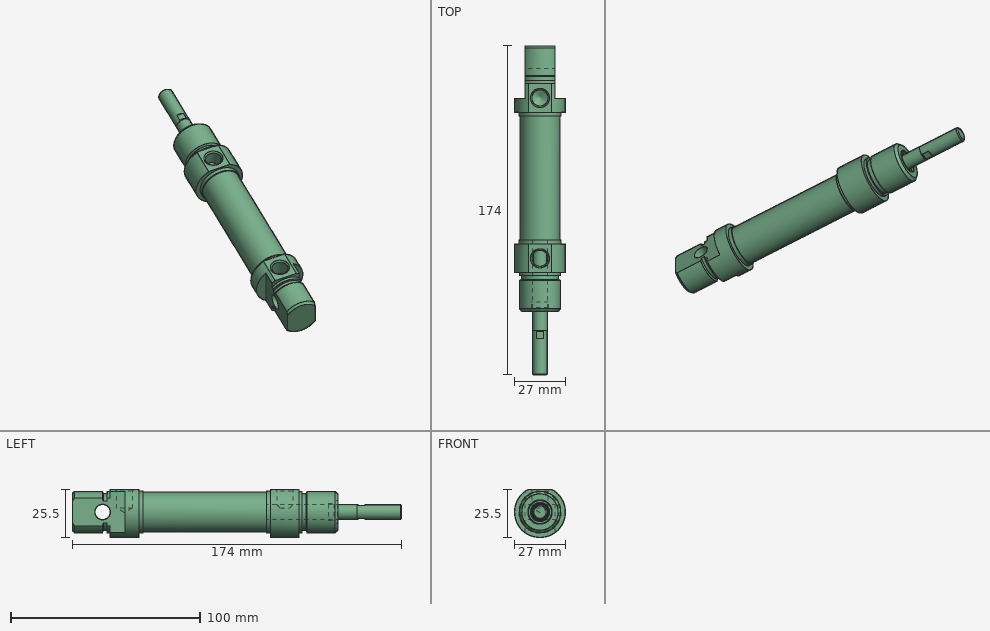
import cadquery as cq
import math

total_length = 174.0

flange_diameter = 27.0
collar_diameter = 22.3
thread_diameter = 22.0
groove_diameter = 19.7
rear_nose_diameter = 19.7
front_nose_diameter = 19.1
barrel_diameter = 21.2
rod_diameter = 8.0
rod_thread_relief = 0.07
rod_thread_diameter = rod_diameter - rod_thread_relief
rod_tip_diameter = 6.6

rear_chamfer = 1.2
rear_thread_end = 15.8
rear_groove_end = 18.5
rear_flange_start = 20.0
flange_length = 15.1
collar_length = 2.1
rear_flange_end = rear_flange_start + flange_length
rear_cap_end = rear_flange_end + collar_length

front_cap_start = 102.7
front_flange_start = front_cap_start + collar_length
front_flange_end = front_flange_start + flange_length
front_groove_start = 121.5
front_thread_start = 124.0
front_chamfer = 1.5
front_cap_end = 140.5

groove_slope = 0.5

pad_height = 12.0
port_diameter = 8.5
port_mouth_diameter = 10.1
port_mouth_depth = (port_mouth_diameter - port_diameter) / 2
port_depth = 9.7
drill_point_angle = 118
rear_port_station = rear_flange_start + flange_length / 2
front_port_station = front_flange_start + flange_length / 2

tongue_width = 16.0
tongue_length = 27.8
pin_hole_diameter = 8.0
pin_hole_station = 16.0

seal_recess_diameter = 12.2
seal_recess_depth = 1.5
seal_recess_chamfer = 0.3
seal_bore_diameter = 9.0
seal_bore_chamfer = 0.5
seal_bore_depth = 3.5
rod_thread_start = 150.3
rod_tip_chamfer = 0.7
wrench_flat_width = 7.0
wrench_flat_start = 150.9
wrench_flat_length = 3.8


def turned(profile):
    """Revolve (diameter, station) points about the Y axis."""
    points = [(diameter / 2, -station) for diameter, station in profile]
    start = (0, points[0][1])
    end = (0, points[-1][1])
    outline = cq.Workplane("XY").polyline([start, *points, end]).close()
    return outline.revolve(360, (0, 0, 0), (0, 1, 0))


def block(width, start, length, bottom, height):
    """Box centred on X, running from a station towards the rod tip."""
    return cq.Workplane("XY").box(width, length, height).translate(
        (0, -start - length / 2, bottom + height / 2)
    )


def port_cutter(station):
    """Drilled port with a conical point and a countersunk mouth."""
    radius = port_diameter / 2
    floor = pad_height - port_depth
    point = floor - radius / math.tan(math.radians(drill_point_angle / 2))
    profile = [
        (0, point),
        (radius, floor),
        (radius, pad_height - port_mouth_depth),
        (port_mouth_diameter / 2, pad_height),
        (0, pad_height),
    ]
    cutter = cq.Workplane("XZ").polyline(profile).close().revolve(360, (0, 0, 0), (0, 1, 0))
    return cutter.translate((0, -station, 0))


def cut_port(cap, flange_start, port_station):
    """Mill the flat pad on top of the flange and drill its port."""
    pad = block(flange_diameter, flange_start, flange_length, pad_height, flange_diameter)
    return cap.cut(pad).cut(port_cutter(port_station))


def make_rear_cap():
    cap = turned([
        (rear_nose_diameter, 0),
        (thread_diameter, rear_chamfer),
        (thread_diameter, rear_thread_end),
        (groove_diameter, rear_thread_end + groove_slope),
        (groove_diameter, rear_groove_end),
        (thread_diameter, rear_groove_end),
        (thread_diameter, rear_flange_start),
        (flange_diameter, rear_flange_start),
        (flange_diameter, rear_flange_end),
        (collar_diameter, rear_flange_end),
        (collar_diameter, rear_cap_end),
    ])
    tongue = block(tongue_width, 0, tongue_length, -flange_diameter / 2, flange_diameter)
    body = block(flange_diameter, tongue_length, rear_cap_end - tongue_length,
                 -flange_diameter / 2, flange_diameter)
    cap = cap.intersect(tongue.union(body))
    pin_hole = cq.Workplane("YZ").center(-pin_hole_station, 0).circle(pin_hole_diameter / 2)
    cap = cap.cut(pin_hole.extrude(tongue_width, both=True))
    return cut_port(cap, rear_flange_start, rear_port_station)


def make_barrel():
    return turned([(barrel_diameter, rear_cap_end), (barrel_diameter, front_cap_start)])


def make_front_cap():
    cap = turned([
        (collar_diameter, front_cap_start),
        (collar_diameter, front_flange_start),
        (flange_diameter, front_flange_start),
        (flange_diameter, front_flange_end),
        (thread_diameter, front_flange_end),
        (thread_diameter, front_groove_start),
        (groove_diameter, front_groove_start),
        (groove_diameter, front_thread_start - groove_slope),
        (thread_diameter, front_thread_start),
        (thread_diameter, front_cap_end - front_chamfer),
        (front_nose_diameter, front_cap_end),
    ])
    recess_floor = front_cap_end - seal_recess_depth
    seal_floor = recess_floor - seal_bore_depth
    cap = cap.cut(turned([
        (rod_diameter, front_cap_start),
        (rod_diameter, seal_floor),
        (seal_bore_diameter, seal_floor),
        (seal_bore_diameter, recess_floor - seal_bore_chamfer),
        (seal_bore_diameter + 2 * seal_bore_chamfer, recess_floor),
        (seal_recess_diameter, recess_floor),
        (seal_recess_diameter, front_cap_end - seal_recess_chamfer),
        (seal_recess_diameter + 2 * seal_recess_chamfer, front_cap_end),
    ]))
    return cut_port(cap, front_flange_start, front_port_station)


def make_rod():
    rod = turned([
        (rod_diameter, front_cap_start),
        (rod_diameter, rod_thread_start),
        (rod_thread_diameter, rod_thread_start),
        (rod_thread_diameter, total_length - rod_tip_chamfer),
        (rod_tip_diameter, total_length),
    ])
    for bottom in (wrench_flat_width / 2, -wrench_flat_width / 2 - rod_diameter):
        rod = rod.cut(block(rod_diameter, wrench_flat_start, wrench_flat_length, bottom, rod_diameter))
    return rod


rear_cap = make_rear_cap()
barrel = make_barrel()
front_cap = make_front_cap()
rod = make_rod()

result = cq.Compound.makeCompound([rear_cap.val(), barrel.val(), front_cap.val(), rod.val()])